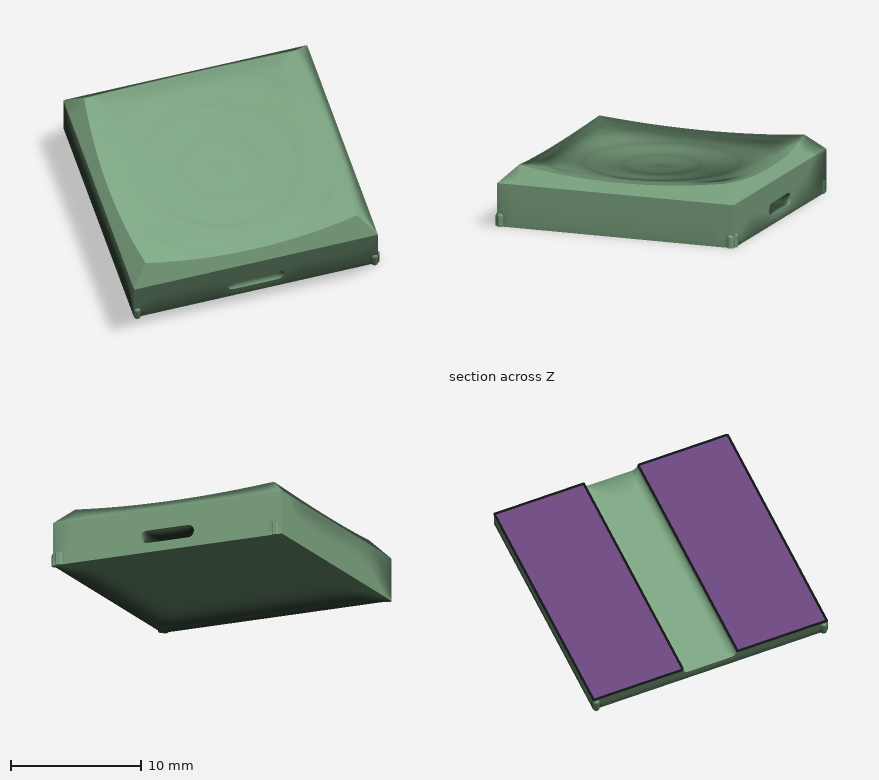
import cadquery as cq
import math

side = 19.5
half_side = side / 2
wall_height = 3.4
bevel_height = 1.29
total_height = wall_height + bevel_height

dish_corner_radius = math.sqrt(2) * (half_side - bevel_height)
dish_radius = 56.63

slot_length = 4.51
slot_width = 0.99
slot_center_height = 1.25

rib_height = 1.0

round_rib_radius = 0.25
round_rib_projection = 0.2
round_rib_fillet = round_rib_projection
round_rib_corner_offset = round_rib_radius

flat_rib_width = 0.53
flat_rib_projection = 0.1
flat_rib_chamfer = 0.08
flat_rib_back_offset = 0.51
flat_rib_front_offset = 0.57


def make_body():
    """Square block with a 45 degree bevel all round its top."""
    block = cq.Workplane("XY").box(side, side, total_height, centered=(True, True, False))
    return block.faces(">Z").edges().chamfer(bevel_height)


def make_dish():
    """Ball whose underside hollows out the top face."""
    drop_to_center = math.sqrt(dish_radius**2 - dish_corner_radius**2)
    return cq.Workplane("XY").sphere(dish_radius).translate((0, 0, total_height + drop_to_center))


def make_slot():
    """Round-ended cutter spanning the full width of the body."""
    return (
        cq.Workplane("YZ")
        .center(0, slot_center_height)
        .slot2D(slot_length, slot_width)
        .extrude(half_side, both=True)
    )


def make_round_rib(x, y):
    """Upright pin with a rounded top, partly sunk in the wall."""
    pin = cq.Workplane("XY").center(x, y).circle(round_rib_radius).extrude(rib_height)
    return pin.faces(">Z").edges().fillet(round_rib_fillet)


def make_flat_rib(y):
    """Low pad on the -X wall with its outer side and top edges chamfered."""
    pad = (
        cq.Workplane("XY")
        .center(-half_side, y)
        .rect(2 * flat_rib_projection, flat_rib_width)
        .extrude(rib_height)
    )
    return pad.faces("<X").edges("|Z or >Z").chamfer(flat_rib_chamfer)


result = make_body().cut(make_dish()).cut(make_slot())

round_rib_axis = half_side + round_rib_projection - round_rib_radius
corner_position = half_side - round_rib_corner_offset
for end in (-1, 1):
    result = result.union(make_round_rib(round_rib_axis, end * corner_position))
    result = result.union(make_round_rib(end * corner_position, round_rib_axis))

for y in (half_side - flat_rib_back_offset, flat_rib_front_offset - half_side):
    result = result.union(make_flat_rib(y))